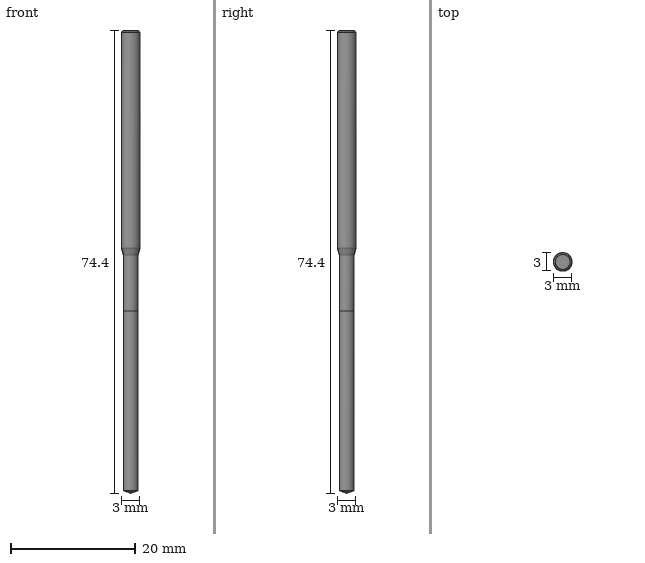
import cadquery as cq
import math


drill_diameter = 2.4
point_angle = 140.0
head_length = 29.3

shank_diameter = 3.0
shank_length = 35.0
end_chamfer = 0.3
taper_half_angle = 15.0

overall_length = 74.44

drill_radius = drill_diameter / 2
shank_radius = shank_diameter / 2
point_height = drill_radius / math.tan(math.radians(point_angle / 2))
taper_length = (shank_radius - drill_radius) / math.tan(math.radians(taper_half_angle))

shank_bottom = overall_length - shank_length
neck_top = shank_bottom - taper_length


def revolve_profile(points):
    """Turn a closed (radius, height) outline about the Z axis."""
    return cq.Workplane("YZ").polyline(points).close().revolve(360, (0, 0, 0), (0, 1, 0))


def make_cutting_head():
    """Plain cylinder ending in a shallow conical point."""
    return revolve_profile([
        (0, 0),
        (drill_radius, point_height),
        (drill_radius, head_length),
        (0, head_length),
    ])


def make_shank():
    """Neck, short taper and chamfered cylindrical shank."""
    return revolve_profile([
        (0, head_length),
        (drill_radius, head_length),
        (drill_radius, neck_top),
        (shank_radius, shank_bottom),
        (shank_radius, overall_length - end_chamfer),
        (shank_radius - end_chamfer, overall_length),
        (0, overall_length),
    ])


cutting_head = make_cutting_head()
shank = make_shank()

result = cq.Compound.makeCompound([cutting_head.val(), shank.val()])